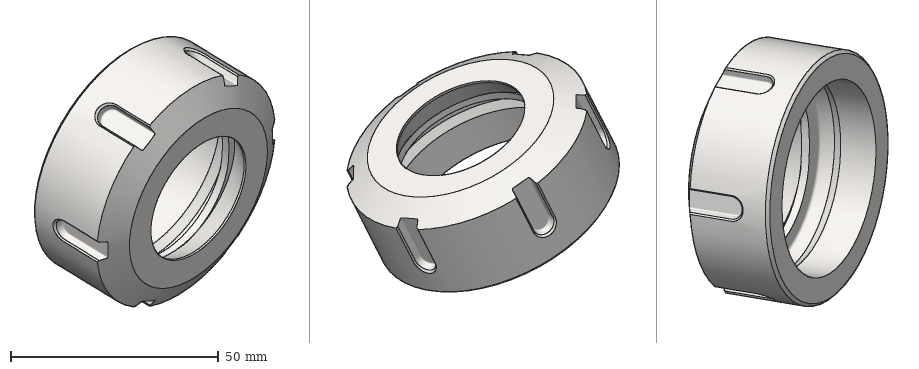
import cadquery as cq
import math

length = 25.5
outer_radius = 31.35
rear_chamfer = 0.8
nose_length = 4.1
nose_angle = 60.0
nose_start = length - nose_length
nose_radius = outer_radius - nose_length * math.tan(math.radians(nose_angle))

bore_radius = 24.25
bore_depth = 9.6
relief_radius = 25.4
relief_taper_length = 2.3
relief_fillet = 0.75
ledge_depth = 15.9

lip_end_radius = 19.25
lip_centre_spacing = 3.6
lip_offset_y = -0.7

hole_radius = 16.7
hole_land = 0.6
seat_radius = 20.65
seat_half_angle = 30.0
seat_end = length - hole_land
seat_start = seat_end - (seat_radius - hole_radius) / math.tan(math.radians(seat_half_angle))

slot_count = 6
first_slot_angle = 90.0
slot_floor_width = 5.12
slot_wall_draft = 10.0
slot_rim_width = 6.56
slot_flare_depth = 0.42
slot_flare_angle = 45.0
slot_centre_x = 10.3
slot_floor_radius = 28.93
slot_floor_fillet = 0.35
cut_margin = 2.0


def revolve_about_x(profile):
    """Solid of revolution of an open half-profile that starts and ends on the X axis."""
    return profile.close().revolve(360, (0, 0, 0), (1, 0, 0))


def outer_body():
    return revolve_about_x(
        cq.Workplane("XY")
        .moveTo(0, 0)
        .lineTo(0, outer_radius - rear_chamfer)
        .lineTo(rear_chamfer, outer_radius)
        .lineTo(nose_start, outer_radius)
        .lineTo(length, nose_radius)
        .lineTo(length, 0)
    )


def rear_bore():
    """Bore opening through a taper into a relief with a filleted bottom corner."""
    return revolve_about_x(
        cq.Workplane("XY")
        .moveTo(0, 0)
        .lineTo(0, bore_radius)
        .lineTo(bore_depth, bore_radius)
        .lineTo(bore_depth + relief_taper_length, relief_radius)
        .lineTo(ledge_depth - relief_fillet, relief_radius)
        .radiusArc((ledge_depth, relief_radius - relief_fillet), relief_fillet)
        .lineTo(ledge_depth, 0)
    )


def lip_opening():
    """Off-centre obround opening, longer along Z than along Y."""
    return (
        cq.Workplane("YZ", origin=(ledge_depth, 0, 0))
        .center(lip_offset_y, 0)
        .slot2D(lip_centre_spacing + 2 * lip_end_radius, 2 * lip_end_radius, 90)
        .extrude(seat_start - ledge_depth)
    )


def seat():
    """Cone narrowing from the lip to the short cylindrical hole in the nose."""
    return revolve_about_x(
        cq.Workplane("XY")
        .moveTo(seat_start, 0)
        .lineTo(seat_start, seat_radius)
        .lineTo(seat_end, hole_radius)
        .lineTo(length, hole_radius)
        .lineTo(length, 0)
    )


def slot_prism(base_z, width, height, draft):
    """Prism with a round rear end, running out past the nose and widening upwards by the draft angle."""
    half_width = width / 2
    front_x = length + cut_margin
    return (
        cq.Workplane("XY", origin=(0, 0, base_z))
        .moveTo(front_x, -half_width)
        .lineTo(front_x, half_width)
        .lineTo(slot_centre_x, half_width)
        .threePointArc((slot_centre_x - half_width, 0), (slot_centre_x, -half_width))
        .close()
        .extrude(height, taper=-draft)
    )


def slot_cutter():
    """Slot with drafted walls, a filleted floor and a sloping flare at the rim."""
    depth = outer_radius - slot_floor_radius
    walls = slot_prism(slot_floor_radius, slot_floor_width, depth, slot_wall_draft)
    walls = walls.faces("<Z").edges().fillet(slot_floor_fillet)
    rim_height = math.sqrt(outer_radius**2 - (slot_rim_width / 2) ** 2)
    flare_base_width = slot_rim_width - 2 * slot_flare_depth * math.tan(math.radians(slot_flare_angle))
    flare = slot_prism(rim_height - slot_flare_depth, flare_base_width, cut_margin, slot_flare_angle)
    return walls.union(flare)


def nut():
    body = outer_body().cut(rear_bore()).cut(lip_opening()).cut(seat())
    cutter = slot_cutter()
    for index in range(slot_count):
        angle = first_slot_angle + index * 360 / slot_count
        body = body.cut(cutter.rotate((0, 0, 0), (1, 0, 0), angle))
    return body


result = nut()